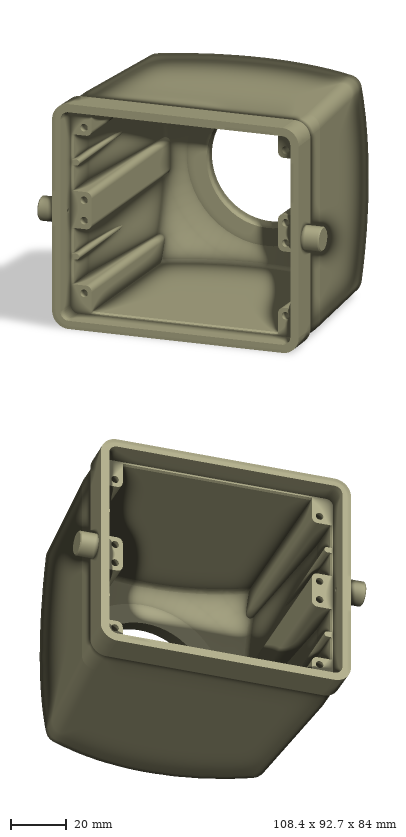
import cadquery as cq
import math


BODY_HALF_X = 46.1
BODY_HALF_Z = 40.7
BODY_CORNER = 5.0
WALL = 3.0
TAPER_START_Y = 24.2
TAPER_ANGLE = 5
LENGTH = 92.7
DOME_RADIUS = 93.3
END_FACE_RADIUS = 26.4
INNER_END_RADIUS = 30.6

COLLAR_HALF_X = 47.5
COLLAR_HALF_Z = 42.0
COLLAR_CORNER = 6.3
COLLAR_LENGTH = 12.6
COLLAR_DRAFT = 1
COLLAR_ROUNDING = 0.9

MOUTH_HALF_X = 44.2
MOUTH_HALF_Z = 38.9
MOUTH_CORNER = 3.0
MOUTH_DEPTH = 9.2
MOUTH_DRAFT = 1.5

FLARE = 0.4
FLARE_DEPTH = 1.0

POST_INNER_X = 35.9
POST_EDGE_RADIUS = 2.2
MIDDLE_POST_HALF_Z = 6.9
CORNER_POST_INNER_Z = 28.0
SCREW_X = 38.8
SCREW_Z = (3.8, 30.9)
SCREW_RADIUS = 1.4
SCREW_DEPTH = 10.0

RIB_Z = 17.6
RIB_WIDTH = 2.2
RIB_TIP_X = 40.7

PIN_TIP_X = 54.2
PIN_Y = 6.7
PIN_RADIUS = 4.6
PIN_CHAMFER = 0.4
PIN_HOLE_RADIUS = 0.8
PIN_HOLE_END_X = 49.9

OPENING_RADIUS = 22.7
OPENING_INNER_RADIUS = 23.4
OPENING_INNER_OFFSET = (0.5, -0.4)

TAPER = math.tan(math.radians(TAPER_ANGLE))
DOME_CENTRE_Y = LENGTH - math.sqrt(DOME_RADIUS**2 - END_FACE_RADIUS**2)


def dome_y(dome_radius, distance):
    """Y of a dome of this radius at a given distance from the Y axis."""
    return DOME_CENTRE_Y + math.sqrt(dome_radius**2 - distance**2)


def across(y):
    """Workplane at a given Y; its local axes are +X and +Z, and extruding forward goes to -Y."""
    return cq.Workplane("XZ", origin=(0, y, 0))


def domed_block(inset, start_y, end_face_radius):
    """Tapered block under the dome, set in from the outer skin on every side."""
    half_x = BODY_HALF_X - inset
    half_z = BODY_HALF_Z - inset
    rounding = BODY_CORNER - inset
    radius = DOME_RADIUS - inset
    top_x = half_x - TAPER * (LENGTH - TAPER_START_Y)
    block = (
        cq.Workplane("XY")
        .polyline([
            (-half_x, start_y),
            (half_x, start_y),
            (half_x, TAPER_START_Y),
            (top_x, LENGTH),
            (-top_x, LENGTH),
            (-half_x, TAPER_START_Y),
        ])
        .close()
        .extrude(half_z, both=True)
    )
    dome = across(DOME_CENTRE_Y).sphere(radius)
    block = block.intersect(dome).edges("not(<Y or |Z)").fillet(rounding)
    end_y = dome_y(radius, end_face_radius)
    return block.intersect(across(end_y).circle(radius).extrude(end_y))


def drafted_block(start_y, half_x, half_z, corner, depth, draft):
    """Rounded rectangular block that narrows towards +Y."""
    return (
        across(start_y)
        .sketch()
        .rect(2 * half_x, 2 * half_z)
        .vertices()
        .fillet(corner)
        .finalize()
        .extrude(-depth, taper=draft)
    )


def posts():
    """Full-length posts in the corners and halfway up both side walls."""
    bands = (
        (-BODY_HALF_Z, -CORNER_POST_INNER_Z),
        (-MIDDLE_POST_HALF_Z, MIDDLE_POST_HALF_Z),
        (CORNER_POST_INNER_Z, BODY_HALF_Z),
    )
    solid = cq.Workplane("XY")
    for side in (-1, 1):
        for low_z, high_z in bands:
            post = (
                across(MOUTH_DEPTH)
                .center(side * (POST_INNER_X + BODY_HALF_X) / 2, (low_z + high_z) / 2)
                .rect(BODY_HALF_X - POST_INNER_X, high_z - low_z)
                .extrude(MOUTH_DEPTH - LENGTH)
            )
            inner_edges = post.faces("<X" if side > 0 else ">X").edges("|Y")
            solid = solid.union(inner_edges.fillet(POST_EDGE_RADIUS))
    return solid


def ribs():
    """Round-nosed ribs that fade out where the tapered wall reaches their tips."""
    solid = cq.Workplane("XY")
    for side in (-1, 1):
        for z in (-RIB_Z, RIB_Z):
            nose_x = RIB_TIP_X + RIB_WIDTH / 2
            rib = (
                across(MOUTH_DEPTH)
                .moveTo(side * BODY_HALF_X, z - RIB_WIDTH / 2)
                .lineTo(side * nose_x, z - RIB_WIDTH / 2)
                .threePointArc((side * RIB_TIP_X, z), (side * nose_x, z + RIB_WIDTH / 2))
                .lineTo(side * BODY_HALF_X, z + RIB_WIDTH / 2)
                .close()
                .extrude(MOUTH_DEPTH - LENGTH)
            )
            solid = solid.union(rib)
    return solid


def screw_holes():
    """Blind holes in the post faces."""
    points = [(sx * SCREW_X, sz * z) for sx in (-1, 1) for sz in (-1, 1) for z in SCREW_Z]
    return across(MOUTH_DEPTH).pushPoints(points).circle(SCREW_RADIUS).extrude(-SCREW_DEPTH)


def bar_along_x(radius, start_x, end_x):
    """Round bar on the pin axis between two X positions."""
    return (
        cq.Workplane("YZ", origin=(start_x, PIN_Y, 0))
        .circle(radius)
        .extrude(end_x - start_x)
    )


def pin(side):
    """Locking pin with a chamfered tip."""
    bar = bar_along_x(PIN_RADIUS, side * BODY_HALF_X, side * PIN_TIP_X)
    return bar.faces(">X" if side > 0 else "<X").chamfer(PIN_CHAMFER)


def pin_hole(side):
    """Small blind hole from the recess into the pin."""
    return bar_along_x(PIN_HOLE_RADIUS, side * POST_INNER_X, side * PIN_HOLE_END_X)


def cable_opening():
    """Opening through the end wall, from the outer flat to the inner flat."""
    dx, dz = OPENING_INNER_OFFSET
    inner_y = dome_y(DOME_RADIUS - WALL, INNER_END_RADIUS)
    return (
        across(LENGTH)
        .circle(OPENING_RADIUS)
        .workplane(offset=LENGTH - inner_y)
        .center(dx, dz)
        .circle(OPENING_INNER_RADIUS)
        .loft()
    )


collar = drafted_block(0, COLLAR_HALF_X, COLLAR_HALF_Z, COLLAR_CORNER, COLLAR_LENGTH, COLLAR_DRAFT)
outside = domed_block(0, 0, END_FACE_RADIUS).union(collar.faces(">Y").edges().fillet(COLLAR_ROUNDING))

flare = drafted_block(
    MOUTH_DEPTH,
    BODY_HALF_X - WALL + FLARE,
    BODY_HALF_Z - WALL + FLARE,
    BODY_CORNER - WALL + FLARE,
    FLARE_DEPTH,
    math.degrees(math.atan2(FLARE, FLARE_DEPTH)),
)
chamber = domed_block(WALL, MOUTH_DEPTH, INNER_END_RADIUS).union(flare).cut(posts()).cut(ribs())
mouth = drafted_block(0, MOUTH_HALF_X, MOUTH_HALF_Z, MOUTH_CORNER, MOUTH_DEPTH, MOUTH_DRAFT)

result = outside.cut(chamber).cut(mouth).cut(screw_holes()).cut(cable_opening())
for side in (-1, 1):
    result = result.union(pin(side)).cut(pin_hole(side))